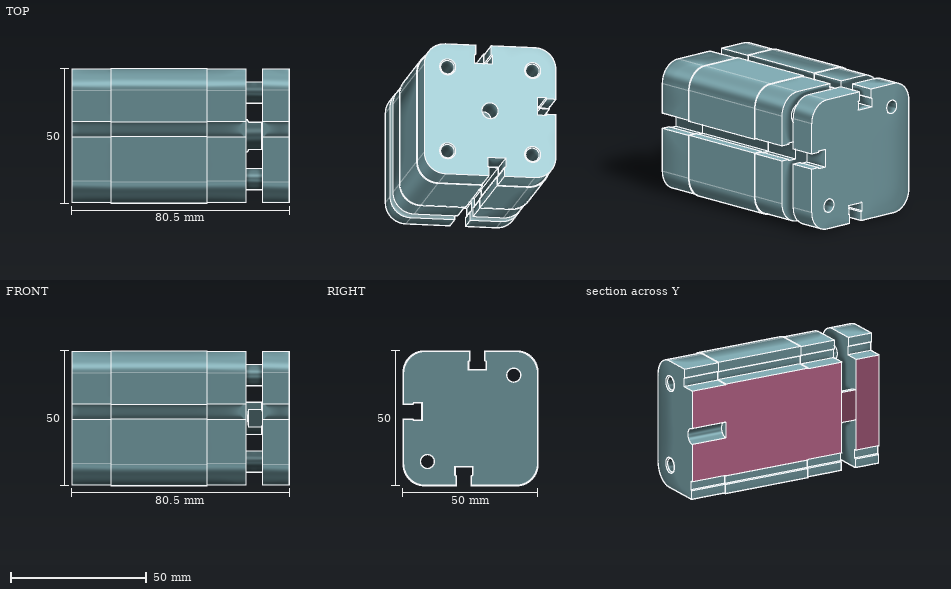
import cadquery as cq

cap_length = 14.5
barrel_length = 35.5
rod_gap = 6.0
plate_length = 10.0
housing_length = barrel_length + 2 * cap_length
plate_start = housing_length + rod_gap

barrel_width = 50.0
inset = 0.25
cap_width = barrel_width - 2 * inset
housing_corner = 8.0
plate_corner = housing_corner - inset

slot_offset = 2.5
slot_mouth = 5.3
slot_channel = 6.3
slot_lip = 3.6
slot_lip_slope = 0.3
slot_depth = 6.9
slot_angles = (0, 90, 180)

hole_spacing = 31.95
hole_diameter = 5.1
hole_chamfer = 0.5
centre_diameter = 6.0
centre_depth = cap_length

rod_diameter = 12.0
rod_end_chamfer = 0.3
flat_width = 10.15
shoulder_start = 0.6
shoulder_end = 1.0
guide_diameter = 8.0

corner = hole_spacing / 2
guide_places = [(-corner, corner), (corner, -corner)]
screw_places = [(corner, corner), (-corner, -corner)]


def section_plane(x):
    """Workplane across the axis at x, with local x along Y and local y along Z."""
    return cq.Workplane("YZ", origin=(x, 0, 0))


def slot_cutter(x, length, slot_inset):
    """One sensor slot in the +Z face; slot_inset moves its side walls and floor into the material."""
    face = barrel_width / 2
    half_mouth = slot_mouth / 2 + slot_inset
    half_channel = slot_channel / 2 + slot_inset
    lip = face - slot_lip
    channel_top = lip - slot_lip_slope
    floor = face - slot_depth - slot_inset
    return (
        section_plane(x)
        .center(slot_offset, 0)
        .moveTo(-half_mouth, face)
        .lineTo(-half_mouth, lip)
        .lineTo(-half_channel, channel_top)
        .lineTo(-half_channel, floor)
        .lineTo(half_channel, floor)
        .lineTo(half_channel, channel_top)
        .lineTo(half_mouth, lip)
        .lineTo(half_mouth, face)
        .close()
        .extrude(length)
    )


def slotted_block(x, length, width, corner_radius, slot_inset):
    """Rounded square block along X with slots in its +Z, -Y and -Z faces."""
    block = section_plane(x).rect(width, width).extrude(length).edges("|X").fillet(corner_radius)
    cutter = slot_cutter(x, length, slot_inset)
    for angle in slot_angles:
        block = block.cut(cutter.rotate((0, 0, 0), (1, 0, 0), angle))
    return block


def make_housing():
    """Barrel between two slightly smaller end caps, in one piece."""
    rear_cap = slotted_block(0, cap_length, cap_width, housing_corner, inset)
    barrel = slotted_block(cap_length, barrel_length, barrel_width, housing_corner, 0)
    front_cap = slotted_block(cap_length + barrel_length, cap_length, cap_width, housing_corner, inset)
    housing = rear_cap.union(barrel).union(front_cap)

    corner_holes = (
        section_plane(0)
        .pushPoints(guide_places + screw_places)
        .circle(hole_diameter / 2)
        .extrude(housing_length)
    )
    countersinks = (
        section_plane(0)
        .pushPoints(guide_places + screw_places)
        .circle(hole_diameter / 2 + hole_chamfer)
        .extrude(hole_chamfer, taper=45)
    )
    centring_hole = section_plane(0).circle(centre_diameter / 2).extrude(centre_depth)
    return housing.cut(corner_holes).cut(countersinks).cut(centring_hole)


def make_plate():
    """Yoke plate carried by the rods, with two screw holes through it."""
    plate = slotted_block(plate_start, plate_length, cap_width, plate_corner, inset)
    screw_holes = (
        section_plane(plate_start)
        .pushPoints(screw_places)
        .circle(hole_diameter / 2)
        .extrude(plate_length)
    )
    return plate.cut(screw_holes)


def make_piston_rod():
    """Rod between housing and plate, with two flats that start at sloping shoulders."""
    radius = rod_diameter / 2
    rod = section_plane(housing_length).circle(radius).extrude(rod_gap)
    rod = rod.faces(">X").chamfer(rod_end_chamfer)
    flat_cutter = (
        cq.Workplane("XY", origin=(housing_length, 0, 0))
        .moveTo(shoulder_start, radius)
        .lineTo(shoulder_end, flat_width / 2)
        .lineTo(rod_gap, flat_width / 2)
        .lineTo(rod_gap, radius)
        .close()
        .extrude(radius, both=True)
    )
    return rod.cut(flat_cutter).cut(flat_cutter.mirror("XZ"))


def make_guide_rod(y, z):
    """Plain guide rod between the front face of the housing and the plate."""
    return section_plane(housing_length).center(y, z).circle(guide_diameter / 2).extrude(rod_gap)


housing = make_housing()
plate = make_plate()
piston_rod = make_piston_rod()
guide_rods = [make_guide_rod(y, z) for y, z in guide_places]

bodies = [housing, plate, piston_rod, *guide_rods]
result = cq.Compound.makeCompound([body.solids().val() for body in bodies])